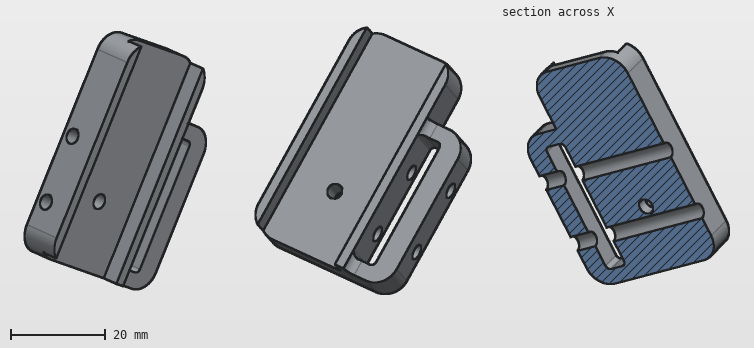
import cadquery as cq


lean_angle = 30.0
block_length = 50.0
block_width = 24.6
block_thickness = 9.5
corner_radius = 5.0

channel_width = 20.2
channel_floor = 5.5

slot_length = 30.0
slot_width = 5.0
slot_corner_radius = 1.0
loop_end_wall = 3.5
loop_outer_wall = 5.0
loop_thickness = 7.5

hole_diameter = 3.3
cross_hole_spacing = 15.0
face_hole_height = 15.0

channel_side_wall = (block_width - channel_width) / 2
loop_length = slot_length + 2 * loop_end_wall
loop_width = slot_width + loop_outer_wall
total_width = block_width + loop_width
loop_mid_height = loop_length / 2
loop_fillet_radius = block_thickness - loop_thickness


def box(x_size, y_start, y_size, z_size, x_start=0.0, z_start=0.0):
    """Box given by its lowest corner and its sizes."""
    body = cq.Workplane("XY").box(x_size, y_size, z_size, centered=False)
    return body.translate((x_start, y_start, z_start))


def block():
    """Main block, rounded at both front corners and at the upper rear corner."""
    body = box(block_thickness, 0, block_width, block_length)
    body = body.edges("|X and <Y").fillet(corner_radius)
    return body.edges("|X and >Y and >Z").fillet(corner_radius)


def strap_loop():
    """Thinner plate behind the block, with rounded outer corners."""
    plate = box(loop_thickness, block_width, loop_width, loop_length)
    return plate.edges("|X and >Y").fillet(corner_radius)


def loop_fillet():
    """Concave fillet along the step between the block and the strap loop."""
    square = box(loop_fillet_radius, block_width, loop_fillet_radius, loop_length, x_start=loop_thickness)
    round_off = (
        cq.Workplane("XY")
        .center(block_thickness, block_width + loop_fillet_radius)
        .circle(loop_fillet_radius)
        .extrude(loop_length)
    )
    return square.cut(round_off)


def channel():
    """Channel along the whole length of the block, open on the +X side."""
    depth = block_thickness - channel_floor
    return box(depth, channel_side_wall, channel_width, block_length, x_start=channel_floor)


def strap_slot():
    """Slot through the thickness, between the block and the outer wall of the loop."""
    slot = box(block_thickness, block_width, slot_width, slot_length, z_start=loop_end_wall)
    return slot.edges("|X").fillet(slot_corner_radius)


def face_hole():
    """Hole through the channel floor, midway across the block."""
    return (
        cq.Workplane("YZ")
        .center(block_width / 2, face_hole_height)
        .circle(hole_diameter / 2)
        .extrude(channel_floor)
    )


def cross_hole(height):
    """Hole under the channel floor, across the block and the outer wall of the loop."""
    return (
        cq.Workplane("XZ")
        .center(channel_floor / 2, height)
        .circle(hole_diameter / 2)
        .extrude(-total_width)
    )


part = block().union(strap_loop()).union(loop_fillet())
part = part.cut(channel()).cut(strap_slot()).cut(face_hole())
for side in (-1, 1):
    part = part.cut(cross_hole(loop_mid_height + side * cross_hole_spacing / 2))

result = part.rotate((0, 0, 0), (1, 0, 0), -lean_angle)